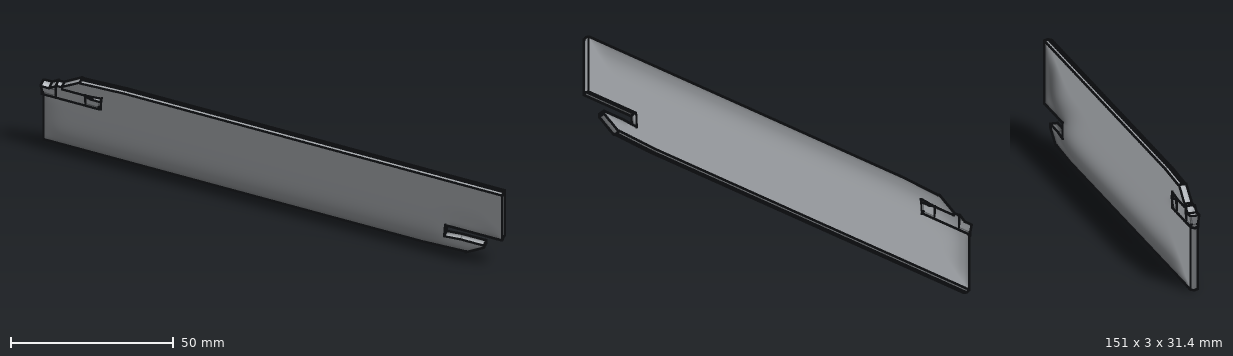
import cadquery as cq

blade_left = 0.9
blade_right = 151.0
blade_height = 31.4
blade_thickness = 2.4
ridge_height = 0.38

seat_z = 20.8
seat_vee_depth = 0.5
seat_back_x = 19.6
pocket_back_x = 20.0
pocket_top_z = 26.0
jaw_tip_x = 7.0
jaw_under_z = 25.4
jaw_relief_x = 14.6
jaw_nose_z = 26.5
jaw_top_x = 12.8
jaw_top_z = 30.7
slope_end_x = 27.2

insert_length = 19.6
insert_center_x = insert_length / 2
cutting_width = 3.0
cutting_z = 24.6
tip_base_z = 21.7
tip_length = 5.0
rake_flat_length = 2.9
front_relief = 0.38
shoulder_z = 26.3
tip_corner_radius = 0.38

blade_center_x = (blade_left + blade_right) / 2
blade_center_z = blade_height / 2


def half_turn(body):
    """Rotate a body half a turn about the blade's centre, in the XZ plane."""
    start = (blade_center_x, 0, blade_center_z)
    end = (blade_center_x, 1, blade_center_z)
    return body.rotate(start, end, 180)


def side_prism(points, width):
    """Extrude an XZ outline to a width centred on Y = 0."""
    return cq.Workplane("XZ").polyline(points).close().extrude(width / 2, both=True)


def cross_prism(points, start_x, end_x):
    """Extrude a YZ outline along X."""
    return cq.Workplane("YZ", origin=(start_x, 0, 0)).polyline(points).close().extrude(end_x - start_x)


def seat_vee(start_x, end_x):
    half = blade_thickness / 2
    points = [(-half, seat_z), (half, seat_z), (0, seat_z - seat_vee_depth)]
    return cross_prism(points, start_x, end_x)


def edge_bevel(start, end, side):
    """Wedge that slopes one side of a long edge down from its central ridge."""
    half = side * blade_thickness / 2
    sections = []
    for x, z in (start, end):
        points = [(x, 0, z), (x, half, z), (x, half, z - ridge_height)]
        sections.append(cq.Wire.makePolygon([cq.Vector(*p) for p in points], close=True))
    return cq.Workplane(cq.Solid.makeLoft(sections, True))


def make_blade():
    half_outline = [
        (blade_left, seat_z),
        (seat_back_x, seat_z),
        (pocket_back_x, pocket_top_z),
        (jaw_relief_x, jaw_under_z),
        (jaw_tip_x, jaw_under_z),
        (jaw_tip_x, jaw_nose_z),
        (jaw_top_x, jaw_top_z),
        (slope_end_x, blade_height),
        (blade_right, blade_height),
    ]
    turned_outline = [(2 * blade_center_x - x, blade_height - z) for x, z in half_outline]
    blade = side_prism(half_outline + turned_outline, blade_thickness)

    slope_start = (jaw_top_x, jaw_top_z)
    slope_end = (slope_end_x, blade_height)
    edge_end = (blade_right, blade_height)
    cutters = [seat_vee(blade_left, seat_back_x)]
    for side in (-1, 1):
        cutters.append(edge_bevel(slope_start, slope_end, side))
        cutters.append(edge_bevel(slope_end, edge_end, side))
    for cutter in cutters:
        blade = blade.cut(cutter).cut(half_turn(cutter))
    return blade


def make_tip(top_z):
    """Left-hand cutting tip, with side relief that narrows it downwards."""
    outline = [
        (0, cutting_z),
        (rake_flat_length, cutting_z),
        (tip_length, top_z),
        (tip_length, tip_base_z),
        (front_relief, tip_base_z),
    ]
    wide = cutting_width / 2
    narrow = blade_thickness / 2
    section = [
        (-narrow, tip_base_z),
        (narrow, tip_base_z),
        (wide, cutting_z),
        (wide, shoulder_z),
        (-wide, shoulder_z),
        (-wide, cutting_z),
    ]
    tip = side_prism(outline, cutting_width).intersect(cross_prism(section, 0, tip_length))
    corner_x = front_relief / 2
    corner_y = (wide + narrow) / 2
    corner_z = (tip_base_z + cutting_z) / 2
    for side in (-1, 1):
        corner = cq.selectors.NearestToPointSelector((corner_x, side * corner_y, corner_z))
        tip = tip.edges(corner).fillet(tip_corner_radius)
    return tip


def make_insert():
    body_outline = [
        (front_relief, seat_z),
        (front_relief, tip_base_z),
        (tip_length, tip_base_z),
        (tip_length, shoulder_z),
        (jaw_tip_x, shoulder_z),
        (jaw_tip_x, jaw_under_z),
        (insert_length - tip_length, jaw_under_z),
        (insert_length - tip_length, tip_base_z),
        (insert_length - front_relief, tip_base_z),
        (insert_length - front_relief, seat_z),
    ]
    body = side_prism(body_outline, blade_thickness)
    body = body.union(seat_vee(front_relief, insert_length - front_relief))
    front_tip = make_tip(shoulder_z)
    rear_tip = make_tip(jaw_under_z).mirror("YZ", (insert_center_x, 0, 0))
    return body.union(front_tip).union(rear_tip)


blade = make_blade()
insert = make_insert()

result = cq.Compound.makeCompound([blade.val(), insert.val()])